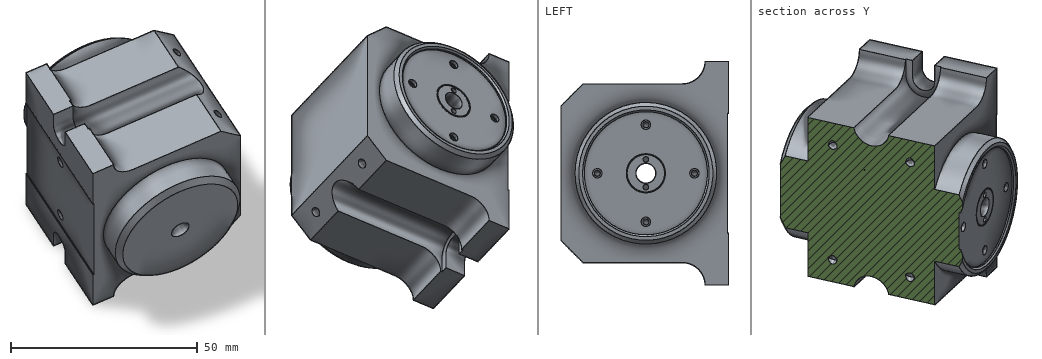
import cadquery as cq
import math

height = 60.0
overall_length = 54.5
block_width = 38.0
depth = 45.0
front_face = -22.2
back_face = front_face + depth

body_half_height = 24.0
flange_thickness = 6.35
shoulder_radius = height / 2 - body_half_height
back_chamfer = 6.0
relief_depth = 0.3
relief_half_height = 16.1

slot_width = 6.6
slot_center_height = 25.0
channel_width = 10.5
channel_floor = front_face + 5.95

hub_diameter = 38.0
hub_end = overall_length / 2
left_hub_chamfer = 1.0
right_hub_chamfer = 1.5

recess_diameter = 33.0
recess_lip = 0.5
recess_depth = 0.95
bore_diameter = 5.3
groove_outer_diameter = 10.5
groove_inner_diameter = 10.0
groove_depth = 0.5
screw_circle_radius = 13.0
screw_counterbore_diameter = 2.5
screw_counterbore_depth = 1.1
screw_hole_diameter = 1.6
screw_hole_depth = 4.8
pin_hole_diameter = 1.5
pin_hole_offset = 3.7
pin_hole_depth = 3.0

drill_tip_angle = 118.0
drill_overshoot = 0.6

front_hole_diameter = 3.0
front_hole_spacing = 24.0
front_hole_depth = 6.0
chamfer_hole_diameter = 2.5
chamfer_hole_spacing = 23.1
chamfer_hole_depth = 6.0


def x_cylinder(diameter, x_start, length, y=0, z=0):
    """Cylinder along +X."""
    return cq.Workplane("YZ", origin=(x_start, y, z)).circle(diameter / 2).extrude(length)


def drilled_hole(diameter, depth, start, direction):
    """Blind hole with a conical tip; depth counts to the start of the tip."""
    radius = diameter / 2
    tip = radius / math.tan(math.radians(drill_tip_angle / 2))
    profile = (
        cq.Workplane("XZ")
        .polyline([(0, -drill_overshoot), (radius, -drill_overshoot), (radius, depth), (0, depth + tip)])
        .close()
    )
    hole = profile.revolve(360, (0, 0), (0, 1)).val()
    plane = cq.Plane(origin=start, normal=direction)
    return cq.Workplane(hole.moved(plane.location))


def make_block():
    """Block with two mounting flanges, concave shoulders and a relieved front."""
    top = height / 2
    shoulder_y = front_face + flange_thickness
    arc_y = shoulder_y + shoulder_radius * (1 - math.sqrt(0.5))
    arc_z = top - shoulder_radius * math.sqrt(0.5)
    relief_y = front_face + relief_depth
    upper_half = (
        cq.Workplane("YZ", origin=(-block_width / 2, 0, 0))
        .moveTo(relief_y, 0)
        .lineTo(relief_y, relief_half_height)
        .lineTo(front_face, relief_half_height)
        .lineTo(front_face, top)
        .lineTo(shoulder_y, top)
        .threePointArc((arc_y, arc_z), (shoulder_y + shoulder_radius, body_half_height))
        .lineTo(back_face - back_chamfer, body_half_height)
        .lineTo(back_face, body_half_height - back_chamfer)
        .lineTo(back_face, 0)
        .close()
        .extrude(block_width)
    )
    return upper_half.union(upper_half.mirror("XY"))


def make_hub(side, chamfer):
    """Round hub reaching one end of the part; side is -1 or +1 along X."""
    hub = x_cylinder(hub_diameter, 0, hub_end).faces(">X").chamfer(chamfer)
    return hub if side > 0 else hub.mirror("YZ")


def open_slot(side, width, y_start):
    """U-shaped cut running along +Y, open at the top (side 1) or bottom (side -1)."""
    center_z = side * slot_center_height
    edge_z = side * height / 2
    start = cq.Workplane("XZ", origin=(0, y_start, 0))
    round_floor = start.center(0, center_z).circle(width / 2).extrude(-depth)
    opening = (
        start.center(0, (center_z + edge_z) / 2)
        .rect(width, height / 2 - slot_center_height)
        .extrude(-depth)
    )
    return round_floor.union(opening)


def make_front_hole(side):
    """Blind hole in the relieved front face with a floor sloping 45 degrees away from the bore axis."""
    radius = front_hole_diameter / 2
    center_z = side * front_hole_spacing / 2
    start_y = front_face + relief_depth
    cylinder = (
        cq.Workplane("XZ", origin=(0, start_y, center_z))
        .circle(radius)
        .extrude(-front_hole_depth - radius)
    )
    sloped_end = (
        cq.Workplane("YZ", origin=(-radius, start_y, center_z))
        .polyline([
            (0, -radius),
            (0, radius),
            (front_hole_depth + side * radius, radius),
            (front_hole_depth - side * radius, -radius),
        ])
        .close()
        .extrude(front_hole_diameter)
    )
    return cylinder.intersect(sloped_end)


def make_recess():
    """Shallow recess with a conical lip in the left hub face."""
    rim_radius = recess_diameter / 2 + recess_lip
    return (
        cq.Workplane("XY")
        .polyline([
            (-hub_end, 0),
            (-hub_end, rim_radius),
            (-hub_end + recess_lip, recess_diameter / 2),
            (-hub_end + recess_depth, recess_diameter / 2),
            (-hub_end + recess_depth, 0),
        ])
        .close()
        .revolve(360, (0, 0), (1, 0))
    )


result = make_block()
result = result.union(make_hub(-1, left_hub_chamfer)).union(make_hub(1, right_hub_chamfer))

for side in (-1, 1):
    result = result.cut(open_slot(side, slot_width, front_face))
    result = result.cut(open_slot(side, channel_width, channel_floor))

left_face = -hub_end + recess_depth
ring_groove = x_cylinder(groove_outer_diameter, left_face, groove_depth).cut(
    x_cylinder(groove_inner_diameter, left_face, groove_depth)
)
result = result.cut(make_recess()).cut(ring_groove)
result = result.cut(x_cylinder(bore_diameter, -hub_end, overall_length))

for index in range(4):
    angle = index * math.pi / 2
    y = screw_circle_radius * math.cos(angle)
    z = screw_circle_radius * math.sin(angle)
    counterbore = x_cylinder(screw_counterbore_diameter, left_face, screw_counterbore_depth, y, z)
    screw_hole = drilled_hole(screw_hole_diameter, screw_hole_depth, (left_face, y, z), (1, 0, 0))
    result = result.cut(counterbore).cut(screw_hole)

for side in (-1, 1):
    pin_z = side * pin_hole_offset
    result = result.cut(x_cylinder(pin_hole_diameter, left_face, pin_hole_depth, z=pin_z))

for side in (-1, 1):
    result = result.cut(make_front_hole(side))

for side in (-1, 1):
    for x in (-chamfer_hole_spacing / 2, chamfer_hole_spacing / 2):
        start = (x, back_face - back_chamfer / 2, side * (body_half_height - back_chamfer / 2))
        result = result.cut(drilled_hole(chamfer_hole_diameter, chamfer_hole_depth, start, (0, -1, -side)))